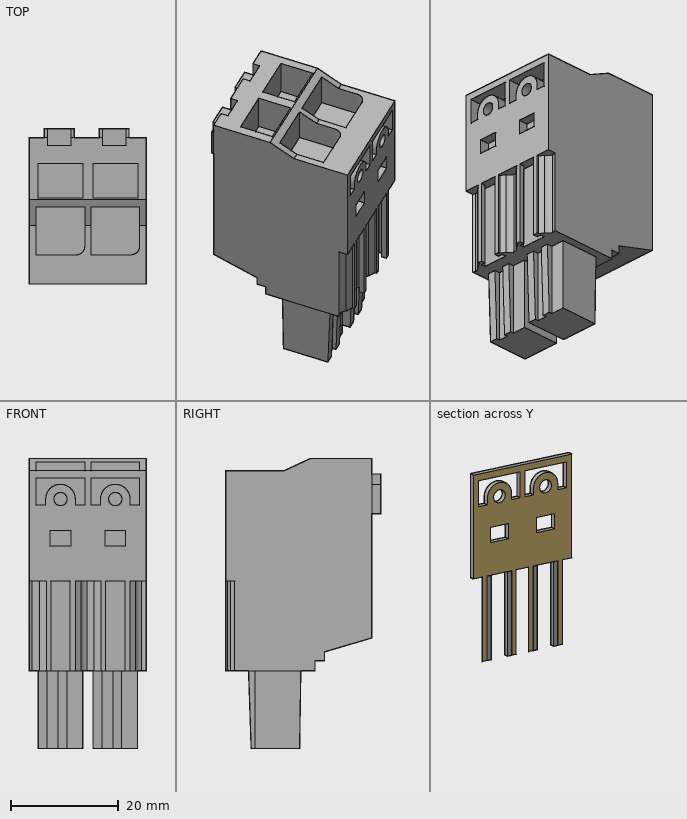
import cadquery as cq


width = 21.8
height = 53.9
overall_depth = 28.9
housing_depth = 27.2
housing_bottom = 14.45

pole_pitch = 10.2
first_pole_x = 5.8
pole_centres = [first_pole_x, first_pole_x + pole_pitch]

front_top = 51.65
ramp_front = 10.9
ramp_back = 15.75
back_bottom = 20.55
underside_slope_end = 17.95
upper_step_y = 18.45
step_z = 16.3
lower_step_y = 16.65

well_floor = 46.6
wire_well_width = 9.05
wire_well_front = 5.45
wire_well_back = 14.35
wire_well_corner = 1.65
release_well_width = 8.35
release_well_front = 16.0
release_well_back = 22.5

socket_width = wire_well_width
socket_top = 50.25
socket_bottom = 45.2
socket_depth = 4.3
arch_radius = 2.75
arch_centre_z = 46.35
test_hole_radius = 1.25

window_width = 3.9
window_top = 40.55
window_bottom = 37.6
window_depth = 2.0

flute_top = 31.1
flute_depth = 1.95
rib_centres = [pole_centres[0] - pole_pitch, *pole_centres, pole_centres[1] + pole_pitch]
rib_left_edge = -2.65
rib_right_edge = 2.75
rib_lip = 0.4
flute_radius = 1.6
curve_start = -5.3
curve_end = -3.95
curve_end_depth = 1.15
facet_edge = 3.75
facet_edge_depth = 0.95
valley = pole_pitch + curve_start

key_throat_width = 3.55
key_throat_depth = 1.0
key_head_width = 5.4
key_slot_depth = 1.9

tab_offset = -0.2
tab_bottom = 43.6
tab_shoulder = 49.05
tab_top = 51.05
tab_width = 5.6
tab_neck_width = 4.4
tab_notch_front = 25.8

leg_width = 8.3
leg_front_top = 4.25
leg_front_bottom = 4.75
leg_back_top = 14.0
leg_back_bottom = 13.8
leg_recess_y = 5.45
leg_groove_left = -2.5
leg_groove_right = -0.45
leg_rebate_left = 1.2


def block(x_range, y_range, z_range):
    """Box between two limits along each axis."""
    (x0, x1), (y0, y1), (z0, z1) = x_range, y_range, z_range
    return cq.Workplane("XY").box(x1 - x0, y1 - y0, z1 - z0, centered=False).translate((x0, y0, z0))


def centred_block(centre_x, block_width, y_range, z_range):
    """Box centred on a position along X."""
    x_range = (centre_x - block_width / 2, centre_x + block_width / 2)
    return block(x_range, y_range, z_range)


def housing_body():
    """Side profile of the housing, extruded across its width."""
    outline = [
        (0, housing_bottom),
        (0, front_top),
        (ramp_front, front_top),
        (ramp_back, height),
        (housing_depth, height),
        (housing_depth, back_bottom),
        (upper_step_y, underside_slope_end),
        (upper_step_y, step_z),
        (lower_step_y, step_z),
        (lower_step_y, housing_bottom),
    ]
    return cq.Workplane("YZ").polyline(outline).close().extrude(width)


def wire_well(centre_x):
    """Wire entry, with its front right corner rounded."""
    well = centred_block(centre_x, wire_well_width, (wire_well_front, wire_well_back), (well_floor, height))
    return well.edges("|Z").edges(">X and <Y").fillet(wire_well_corner)


def release_well(centre_x):
    """Rectangular well behind the wire entry."""
    return centred_block(
        centre_x, release_well_width, (release_well_front, release_well_back), (well_floor, height)
    )


def test_socket(centre_x):
    """Recess around a round-topped arch, with a hole through the arch."""
    recess = centred_block(centre_x, socket_width, (0, socket_depth), (socket_bottom, socket_top))
    arch_foot = centred_block(centre_x, 2 * arch_radius, (0, socket_depth), (socket_bottom, arch_centre_z))
    front = cq.Workplane("XZ", origin=(centre_x, 0, arch_centre_z))
    arch_crown = front.circle(arch_radius).extrude(-socket_depth)
    test_hole = front.circle(test_hole_radius).extrude(-socket_depth)
    return recess.cut(arch_foot).cut(arch_crown).union(test_hole)


def window(centre_x):
    """Shallow rectangular window below the test socket."""
    return centred_block(centre_x, window_width, (0, window_depth), (window_bottom, window_top))


def flute_band():
    """Full-width band of the lower front, from which the ribs are left standing."""
    return block((0, width), (0, flute_depth), (housing_bottom, flute_top))


def rib(centre_x):
    """Flat-fronted rib whose sloping flanks run into concave flutes."""
    return (
        cq.Workplane("XY", origin=(centre_x, 0, housing_bottom))
        .moveTo(curve_start, flute_depth)
        .radiusArc((curve_end, curve_end_depth), flute_radius)
        .lineTo(rib_left_edge, rib_lip)
        .lineTo(rib_left_edge, 0)
        .lineTo(rib_right_edge, 0)
        .lineTo(rib_right_edge, rib_lip)
        .lineTo(facet_edge, facet_edge_depth)
        .radiusArc((valley, flute_depth), flute_radius)
        .close()
        .extrude(flute_top - housing_bottom)
    )


def key_slot(centre_x):
    """T-shaped slot, narrow at the front and wider behind."""
    z_range = (housing_bottom, flute_top)
    throat = centred_block(centre_x, key_throat_width, (0, key_throat_depth), z_range)
    head = centred_block(centre_x, key_head_width, (key_throat_depth, key_slot_depth), z_range)
    return throat.union(head)


def keying_tab(pole_x):
    """Shouldered tab standing out from the back face."""
    centre_x = pole_x + tab_offset
    y_range = (housing_depth, overall_depth)
    shoulder = centred_block(centre_x, tab_width, y_range, (tab_bottom, tab_shoulder))
    neck = centred_block(centre_x, tab_neck_width, y_range, (tab_bottom, tab_top))
    return shoulder.union(neck)


def tab_notch(pole_x):
    """Notch in the top back edge, level with the top of the tab."""
    return centred_block(
        pole_x + tab_offset, tab_neck_width, (tab_notch_front, housing_depth), (tab_top, height)
    )


def make_housing():
    """Housing with all its openings, ribs and tabs."""
    body = housing_body().cut(flute_band())
    for x in rib_centres:
        body = body.union(rib(x).intersect(flute_band()))
    for x in pole_centres:
        body = body.union(keying_tab(x))
    for x in pole_centres:
        for opening in (wire_well, release_well, test_socket, window, key_slot, tab_notch):
            body = body.cut(opening(x))
    return body


def leg_slab(left, right, front_bottom, front_top):
    """Part of a leg between two X limits, with its front face between two Y positions."""
    outline = [
        (front_bottom, 0),
        (leg_back_bottom, 0),
        (leg_back_top, housing_bottom),
        (front_top, housing_bottom),
    ]
    slab = cq.Workplane("YZ").polyline(outline).close().extrude(right - left)
    return slab.translate((left, 0, 0))


def make_leg(centre_x):
    """Tapered leg with a groove and a corner rebate along its front."""
    half_width = leg_width / 2
    leg = leg_slab(-half_width, half_width, leg_recess_y, leg_recess_y)
    for left, right in ((-half_width, leg_groove_left), (leg_groove_right, leg_rebate_left)):
        leg = leg.union(leg_slab(left, right, leg_front_bottom, leg_front_top))
    return leg.translate((centre_x, 0, 0))


housing = make_housing()
legs = [make_leg(x).val() for x in pole_centres]

result = cq.Compound.makeCompound([housing.val(), *legs])